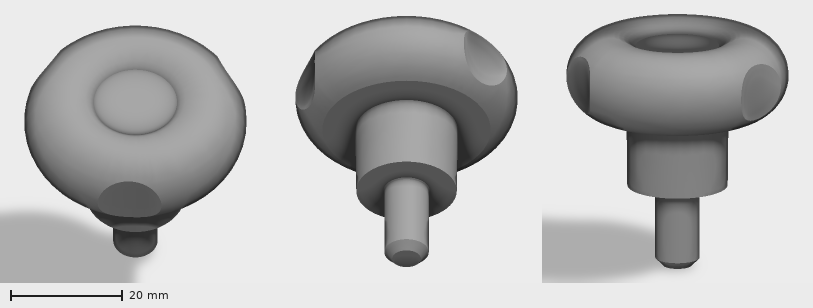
import cadquery as cq
import math

total_height = 43.0

stud_radius = 8.0 / 2
stud_length = 15.0
stud_chamfer_height = 1.45
stud_tip_radius = 2.6

collar_radius = 4.15
collar_height = 0.25

hub_bottom_radius = 9.05
hub_top_radius = 9.2

grip_radius = 20.0
grip_tube_radius = 7.5
grip_height = 14.5
dish_radius = 7.5

scallop_count = 3
scallop_radius = 14.6
scallop_floor_distance = 17.97
first_scallop_angle = 90.0

hub_bottom_z = stud_length
hub_top_z = total_height - grip_height
tube_center_radius = grip_radius - grip_tube_radius
tube_center_z = total_height - grip_tube_radius


def tube_half_height(radius):
    """Height of the grip's round section above its centre, at a distance from the axis."""
    return math.sqrt(grip_tube_radius**2 - (radius - tube_center_radius) ** 2)


def make_grip():
    dish_z = tube_center_z + tube_half_height(dish_radius)
    underside_drop = tube_center_z - hub_top_z
    underside_radius = tube_center_radius + math.sqrt(grip_tube_radius**2 - underside_drop**2)
    return (
        cq.Workplane("XZ")
        .moveTo(0, hub_top_z)
        .lineTo(underside_radius, hub_top_z)
        .threePointArc((tube_center_radius, total_height), (dish_radius, dish_z))
        .lineTo(0, dish_z)
        .close()
        .revolve(360, (0, 0, 0), (0, 1, 0))
    )


def make_scallop_cutters():
    axis_distance = scallop_floor_distance + scallop_radius
    return (
        cq.Workplane("XY")
        .workplane(offset=hub_top_z)
        .polarArray(axis_distance, first_scallop_angle, 360, scallop_count)
        .circle(scallop_radius)
        .extrude(grip_height)
    )


def make_hub_and_stud():
    outline = [
        (0, 0),
        (stud_tip_radius, 0),
        (stud_radius, stud_chamfer_height),
        (stud_radius, hub_bottom_z - collar_height),
        (collar_radius, hub_bottom_z),
        (hub_bottom_radius, hub_bottom_z),
        (hub_top_radius, hub_top_z),
        (0, hub_top_z),
    ]
    return cq.Workplane("XZ").polyline(outline).close().revolve(360, (0, 0, 0), (0, 1, 0))


result = make_grip().cut(make_scallop_cutters()).union(make_hub_and_stud())